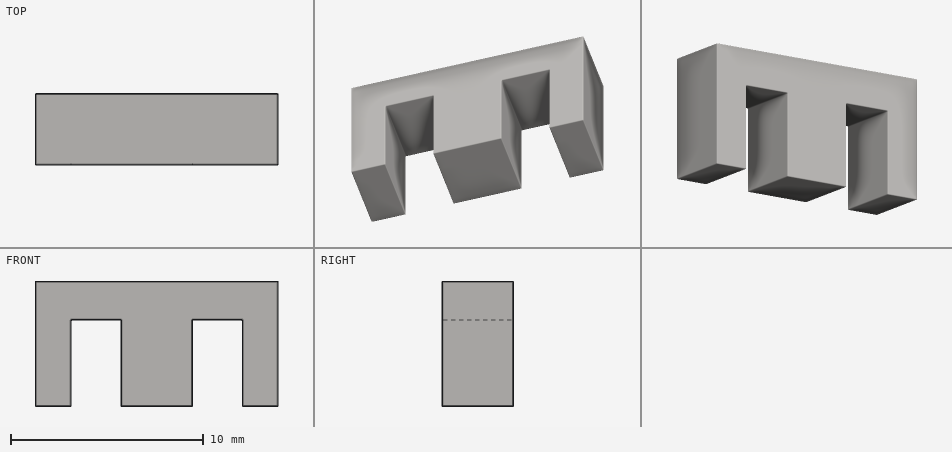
import cadquery as cq

length = 12.6
depth = 3.7
height = 6.5

centre_leg_width = depth
window_span = 8.9
window_height = 4.5
window_width = (window_span - centre_leg_width) / 2
window_offset = (window_span + centre_leg_width) / 4

edge_radius = 0.05


def core_block():
    """Solid block standing on Z = 0, centred in X and Y."""
    return cq.Workplane("XY").box(length, depth, height, centered=(True, True, False))


def window(x_centre):
    """Winding window, open at the bottom and running through the depth."""
    return (
        cq.Workplane("XY")
        .center(x_centre, 0)
        .box(window_width, depth, window_height, centered=(True, True, False))
    )


core = core_block()
for side in (-1, 1):
    core = core.cut(window(side * window_offset))

result = core.edges().fillet(edge_radius)